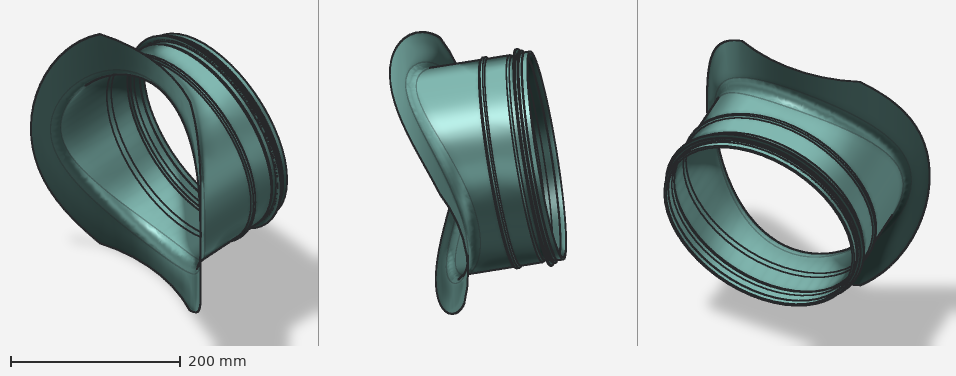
import cadquery as cq
import math

sheet = 0.5
saddle_radius = 200.0
saddle_width = 292.0
saddle_height = 347.0
side_edge_radius = 341.8
total_depth = 160.5

tube_radius = 247.8 / 2
neck_bore_radius = 243.2 / 2
lip_radius = 248.8 / 2
bead_radius = 252.3 / 2
flare_radius = 15.0

lip_length = 6.2
neck_end = 22.0
taper_end = 25.0
bead_start = 51.0
bead_length = 7.3
bead_ramp = 2.0

seal_radius = 247.8 / 2
seal_start = 7.0
fin_thickness = 1.5
small_fin_radius = 254.5 / 2
small_fin_start = 10.0
large_fin_radius = 259.2 / 2
large_fin_start = 14.5
seal_end = large_fin_start + fin_thickness

outer_saddle_radius = saddle_radius + sheet
groove_radius = neck_bore_radius + sheet
saddle_edge_y = math.sqrt(outer_saddle_radius**2 - (saddle_width / 2)**2)
end_y = saddle_edge_y + total_depth
bead_end = bead_start + bead_length


def revolve_about_y(points):
    """Solid of revolution from (radius, y) points."""
    return cq.Workplane("XY").polyline(points).close().revolve(360, (0, 0, 0), (0, 1, 0))


def ring(inner, outer, start, end):
    """Plain ring between two distances from the open end."""
    y_near = end_y - end
    y_far = end_y - start
    return revolve_about_y([(inner, y_near), (outer, y_near), (outer, y_far), (inner, y_far)])


def flared_core(cylinder_radius, pipe_radius, blend, pipe_end_y):
    """Saddle cylinder with a round pipe rising from it, blended at the joint."""
    cylinder = cq.Workplane("XY").circle(cylinder_radius).extrude(saddle_height / 2 + 3.5, both=True)
    pipe = cq.Workplane("XZ").circle(pipe_radius).extrude(-pipe_end_y)
    core = cylinder.union(pipe)
    joint = cq.selectors.BoxSelector((-pipe_radius - 3.5, 3.5, -pipe_radius - 3.5),
                                     (pipe_radius + 3.5, cylinder_radius + 3.5, pipe_radius + 3.5))
    return core.edges(joint).edges("not %CIRCLE").edges("not %LINE").fillet(blend)


def saddle_blank():
    """Block bounding the sheet, with arc-shaped side edges when looked at along X."""
    half_height = saddle_height / 2
    arc_rise = side_edge_radius - math.sqrt(side_edge_radius**2 - half_height**2)
    corner_y = saddle_edge_y + arc_rise
    return (
        cq.Workplane("YZ")
        .moveTo(corner_y, -half_height)
        .threePointArc((saddle_edge_y, 0), (corner_y, half_height))
        .lineTo(end_y, half_height)
        .lineTo(end_y, -half_height)
        .close()
        .extrude(saddle_width, both=True)
    )


def flared_saddle():
    """Saddle sheet and the collar up to the bead."""
    outside = flared_core(outer_saddle_radius, tube_radius, flare_radius, end_y - bead_end)
    inside = flared_core(saddle_radius, tube_radius - sheet, flare_radius + sheet, end_y)
    return outside.cut(inside).intersect(saddle_blank())


def collar_end():
    """Collar from the bead to the lip, with a plain bore behind the bead."""
    outside = [
        (tube_radius, bead_end),
        (bead_radius, bead_end - bead_ramp),
        (bead_radius, bead_start + bead_ramp),
        (tube_radius, bead_start),
        (tube_radius, taper_end),
        (groove_radius, neck_end),
        (groove_radius, lip_length),
        (lip_radius, lip_length),
        (lip_radius, 0),
    ]
    inside = [
        (neck_bore_radius, 0),
        (neck_bore_radius, neck_end),
        (tube_radius - sheet, taper_end),
        (tube_radius - sheet, bead_end),
    ]
    return revolve_about_y([(radius, end_y - distance) for radius, distance in outside + inside])


def make_fitting():
    return flared_saddle().union(collar_end())


def make_seal():
    band = ring(groove_radius, seal_radius, seal_start, seal_end)
    small_fin = ring(groove_radius, small_fin_radius, small_fin_start, small_fin_start + fin_thickness)
    large_fin = ring(groove_radius, large_fin_radius, large_fin_start, seal_end)
    return band.union(small_fin).union(large_fin)


fitting = make_fitting()
seal = make_seal()
result = cq.Compound.makeCompound([fitting.val(), seal.val()])